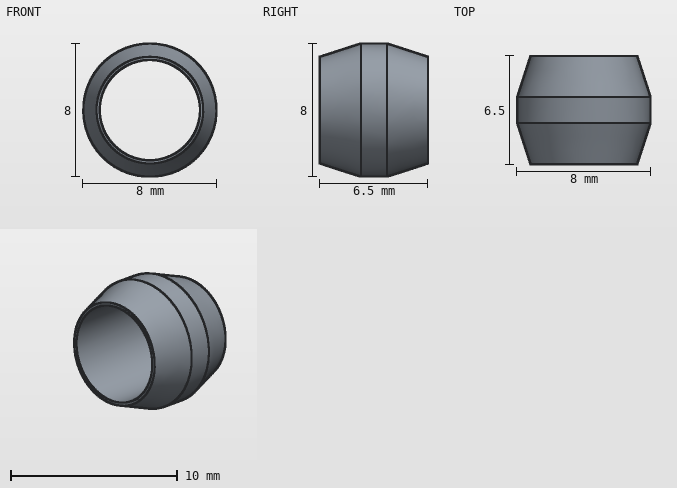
import cadquery as cq
import math

outer_diameter = 8
end_diameter = 6.4
bore_diameter = 6
length = 6.5
taper_angle = 18

outer_radius = outer_diameter / 2
end_radius = end_diameter / 2
bore_radius = bore_diameter / 2
half_length = length / 2
taper_length = (outer_radius - end_radius) / math.tan(math.radians(taper_angle))
half_band = half_length - taper_length

wall_section = [
    (-half_length, bore_radius),
    (-half_length, end_radius),
    (-half_band, outer_radius),
    (half_band, outer_radius),
    (half_length, end_radius),
    (half_length, bore_radius),
]

result = (
    cq.Workplane("YZ")
    .polyline(wall_section)
    .close()
    .revolve(360, (0, 0, 0), (1, 0, 0))
)